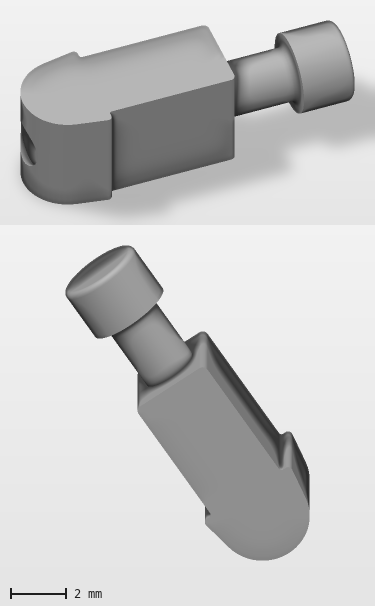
import cadquery as cq
import math

total_length = 12.23
thickness = 4.0

block_width = 3.0
block_end = 7.62
block_corner_radius = 0.21

nose_width = 3.75
nose_radius = 1.7
shoulder_y = 2.74
shoulder_radius = 0.16
neck_radius = 0.1

recess_diameter = 1.72
recess_depth = 0.25

shank_diameter = 2.0
head_diameter = 3.0
head_height = 2.0
head_edge_radius = 0.2
flare_radius = 0.2


def mirrored(point):
    return (-point[0], point[1])


def make_block():
    """Extrude the block and nose outline symmetrically about Z = 0."""
    half_block = block_width / 2
    corner_x = nose_width / 2 - shoulder_radius
    corner_y = shoulder_y - shoulder_radius

    rise = corner_y - nose_radius
    center_distance = math.hypot(corner_x, rise)
    tangent_turn = math.acos((nose_radius - shoulder_radius) / center_distance)
    flank_angle = tangent_turn - math.atan2(rise, corner_x)

    def on_arc(center_x, center_y, radius, angle):
        return (center_x + radius * math.cos(angle), center_y + radius * math.sin(angle))

    flank_start = on_arc(0, nose_radius, nose_radius, -flank_angle)
    flank_end = on_arc(corner_x, corner_y, shoulder_radius, -flank_angle)
    shoulder_mid = on_arc(corner_x, corner_y, shoulder_radius, (math.pi / 2 - flank_angle) / 2)
    shoulder_end = (corner_x, shoulder_y)
    neck = (half_block, shoulder_y)
    end_corner = (half_block, block_end)

    outline = (
        cq.Workplane("XY")
        .workplane(offset=-thickness / 2)
        .moveTo(*mirrored(flank_start))
        .threePointArc((0, 0), flank_start)
        .lineTo(*flank_end)
        .threePointArc(shoulder_mid, shoulder_end)
        .lineTo(*neck)
        .lineTo(*end_corner)
        .lineTo(*mirrored(end_corner))
        .lineTo(*mirrored(neck))
        .lineTo(*mirrored(shoulder_end))
        .threePointArc(mirrored(shoulder_mid), mirrored(flank_end))
        .close()
    )
    block = outline.extrude(thickness)

    def edges_at(y):
        reach = 0.01
        low = (-half_block - reach, y - reach, -thickness)
        high = (half_block + reach, y + reach, thickness)
        return cq.selectors.BoxSelector(low, high)

    block = block.edges("|Z").edges(edges_at(block_end)).fillet(block_corner_radius)
    return block.edges("|Z").edges(edges_at(shoulder_y)).fillet(neck_radius)


def make_recess():
    """Flat-bottomed cutter entering the nose along +Y."""
    return cq.Workplane("XZ").circle(recess_diameter / 2).extrude(-recess_depth)


def make_screw():
    """Revolve the shank, the flare under the head and the head about the Y axis."""
    shank_radius = shank_diameter / 2
    head_radius = head_diameter / 2
    head_start = total_length - head_height
    flare_start = head_start - flare_radius
    screw_start = block_end / 2

    profile = (
        cq.Workplane("XY")
        .moveTo(0, screw_start)
        .lineTo(shank_radius, screw_start)
        .lineTo(shank_radius, flare_start)
        .tangentArcPoint((shank_radius + flare_radius, head_start), relative=False)
        .lineTo(head_radius, head_start)
        .lineTo(head_radius, total_length)
        .lineTo(0, total_length)
        .close()
    )
    screw = profile.revolve(360, (0, 0, 0), (0, 1, 0))
    return screw.faces(">Y").edges().fillet(head_edge_radius)


result = make_block().cut(make_recess()).union(make_screw())